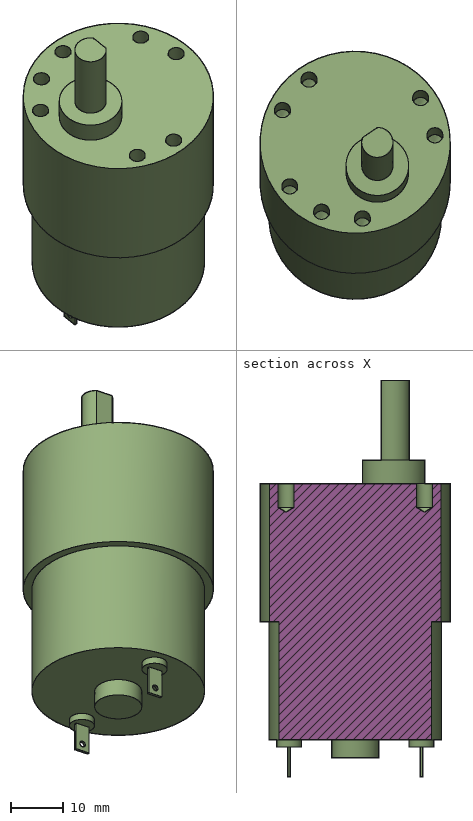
import cadquery as cq
import math

total_height = 75.6
shaft_length = 15.2
front_boss_height = 4.45
gearbox_height = 26.4
terminal_drop = 7.0
motor_height = total_height - shaft_length - front_boss_height - gearbox_height - terminal_drop
rear_boss_height = 3.4
insulator_height = 1.35

gearbox_diameter = 36.3
motor_diameter = 33.0
rear_boss_diameter = 9.0

shaft_offset = 7.3
front_boss_diameter = 11.95
shaft_diameter = 6.0
flat_distance = 2.4

mount_radius = 15.3
mount_angles = (0, 90, 120, 180, 210, 240, 330)
mount_diameter = 3.0
mount_depth = 4.5
drill_point_angle = 118

terminal_offset = 12.6
insulator_diameter = 4.8
tab_width = 2.95
tab_thickness = 0.5
eye_diameter = 1.2
eye_height = 1.5

motor_bottom = terminal_drop
gearbox_bottom = motor_bottom + motor_height
gearbox_top = gearbox_bottom + gearbox_height
front_boss_top = gearbox_top + front_boss_height


def cylinder(diameter, bottom, height, y=0):
    """Upright cylinder centred at x = 0 and the given y."""
    return cq.Workplane("XY", origin=(0, y, bottom)).circle(diameter / 2).extrude(height)


def output_shaft():
    """D-shaped shaft, round except for one flat on its +Y side."""
    radius = shaft_diameter / 2
    half_flat = math.sqrt(radius**2 - flat_distance**2)
    return (
        cq.Workplane("XY", origin=(0, -shaft_offset, front_boss_top))
        .moveTo(half_flat, flat_distance)
        .lineTo(-half_flat, flat_distance)
        .threePointArc((0, -radius), (half_flat, flat_distance))
        .close()
        .extrude(shaft_length)
    )


def mount_hole(angle):
    """Drilled hole with a conical end, at an angle around the gearbox face."""
    radius = mount_diameter / 2
    point_length = radius / math.tan(math.radians(drill_point_angle / 2))
    x = mount_radius * math.cos(math.radians(angle))
    y = mount_radius * math.sin(math.radians(angle))
    return (
        cq.Workplane("XZ")
        .polyline([(0, 0), (radius, 0), (radius, -mount_depth), (0, -mount_depth - point_length)])
        .close()
        .revolve(360, (0, 0), (0, 1))
        .translate((x, y, gearbox_top))
    )


def terminal(y):
    """Round insulator carrying a thin tab with an eye near its tip."""
    insulator = cylinder(insulator_diameter, motor_bottom - insulator_height, insulator_height, y)
    tab = (
        cq.Workplane("XY", origin=(0, y, 0))
        .rect(tab_width, tab_thickness)
        .extrude(terminal_drop - insulator_height)
    )
    eye = (
        cq.Workplane("XZ", origin=(0, y, eye_height))
        .circle(eye_diameter / 2)
        .extrude(tab_thickness, both=True)
    )
    return insulator.union(tab.cut(eye))


result = (
    cylinder(gearbox_diameter, gearbox_bottom, gearbox_height)
    .union(cylinder(motor_diameter, motor_bottom, motor_height))
    .union(cylinder(rear_boss_diameter, motor_bottom - rear_boss_height, rear_boss_height))
    .union(cylinder(front_boss_diameter, gearbox_top, front_boss_height, -shaft_offset))
    .union(output_shaft())
)

for hole_angle in mount_angles:
    result = result.cut(mount_hole(hole_angle))

for terminal_y in (-terminal_offset, terminal_offset):
    result = result.union(terminal(terminal_y))